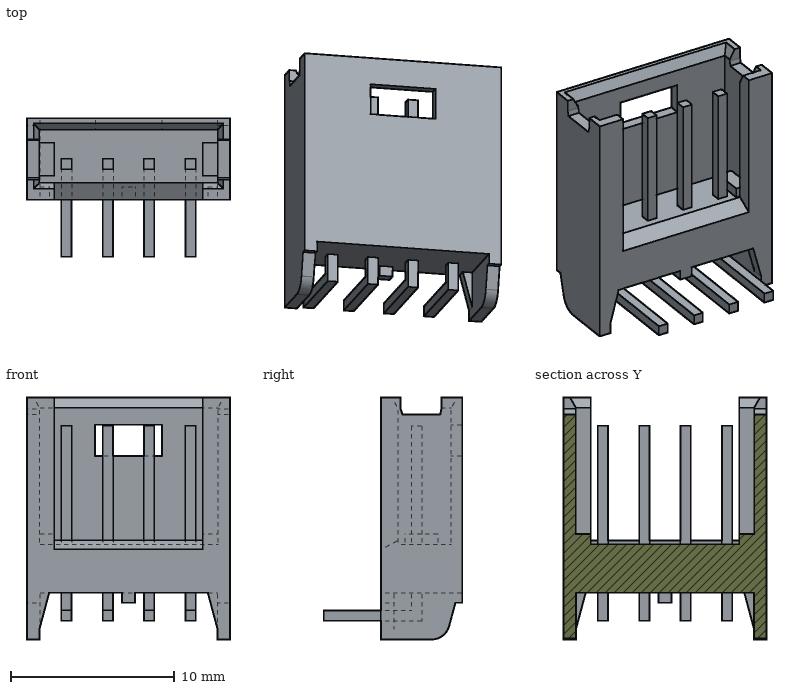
import cadquery as cq
import math


width = 12.45
depth = 5.0
height = 14.85
housing_bottom = 2.87

side_wall = 0.76
back_wall = 0.71
front_wall = 1.03
cavity_floor = 5.86
side_rim = 0.40
back_rim = 0.30
front_rim = 0.67
mouth_depth = 0.63

opening_width = 9.08
sill_front = 5.53
sill_back = 6.09

window_width = 4.1
window_height = 1.91
window_top = height - 1.68

notch_back = depth - 1.29
notch_front = 1.22
notch_depth = 1.04
notch_corner_height = 0.34
notch_corner_back = 0.07
notch_corner_front = 0.12

ledge_length = 2.04
ledge_front = 1.46
ledge_height = 0.62

leg_thickness = 0.78
leg_slope = math.tan(math.radians(15))
leg_step_bottom = 2.25
leg_step_depth = 0.42
leg_radius = 1.14
gusset_bottom = 0.68
gusset_thickness = 0.8

key_width = 0.82

pin_count = 4
pin_pitch = 2.54
pin_size = 0.64
pin_center = 2.19
pin_top = height - 1.73
tail_length = 3.5
tail_bottom = 1.15


def box(x_range, y_range, z_range):
    """Axis-aligned block given by its limits along each axis."""
    (x0, x1), (y0, y1), (z0, z1) = x_range, y_range, z_range
    return cq.Workplane("XY").box(x1 - x0, y1 - y0, z1 - z0, centered=False).translate((x0, y0, z0))


def centered_range(size, middle=0):
    return middle - size / 2, middle + size / 2


def extrude_along_x(points, x_range):
    """Prism of a (Y, Z) outline between two X positions."""
    x0, x1 = x_range
    return cq.Workplane("YZ").workplane(offset=x0).polyline(points).close().extrude(x1 - x0)


def mirrored(shape):
    """The shape together with its mirror image across X = 0."""
    return shape.union(shape.mirror("YZ"))


def make_cavity():
    inner_width = width - 2 * side_wall
    inner = box(
        centered_range(inner_width),
        (front_wall, depth - back_wall),
        (cavity_floor, height),
    )
    inner_middle = (front_wall + depth - back_wall) / 2
    rim_middle = (front_rim + depth - back_rim) / 2
    mouth = (
        cq.Workplane("XY", origin=(0, inner_middle, height - mouth_depth))
        .rect(inner_width, depth - back_wall - front_wall)
        .workplane(offset=mouth_depth)
        .center(0, rim_middle - inner_middle)
        .rect(width - 2 * side_rim, depth - back_rim - front_rim)
        .loft(ruled=True)
    )
    return inner.union(mouth)


def make_front_opening():
    outline = [
        (0, sill_front),
        (front_wall, sill_back),
        (front_wall, height),
        (0, height),
    ]
    return extrude_along_x(outline, centered_range(opening_width))


def make_window():
    return box(
        centered_range(window_width),
        (depth - back_wall, depth),
        (window_top - window_height, window_top),
    )


def make_side_notches():
    bottom = height - notch_depth
    corner_top = bottom + notch_corner_height
    outline = [
        (notch_front, height),
        (notch_front, corner_top),
        (notch_front + notch_corner_front, bottom),
        (notch_back - notch_corner_back, bottom),
        (notch_back, corner_top),
        (notch_back, height),
    ]
    return mirrored(extrude_along_x(outline, (-width / 2, side_wall - width / 2)))


def make_ledges():
    ledge = box(
        (-width / 2 + side_wall, -opening_width / 2),
        (ledge_front, ledge_front + ledge_length),
        (cavity_floor, cavity_floor + ledge_height),
    )
    return mirrored(ledge)


def make_legs():
    step_back = depth - leg_step_depth
    outline = [
        (0, 0),
        (step_back - leg_step_bottom * leg_slope, 0),
        (step_back, leg_step_bottom),
        (depth, leg_step_bottom),
        (depth, housing_bottom),
        (0, housing_bottom),
    ]
    outer_face = -width / 2
    inner_face = outer_face + leg_thickness
    leg = extrude_along_x(outline, (outer_face, inner_face))
    leg = leg.edges("|X").edges("<Z").edges(">Y").fillet(leg_radius)

    gusset_height = housing_bottom - gusset_bottom
    gusset = (
        cq.Workplane("XZ")
        .moveTo(inner_face, gusset_bottom)
        .lineTo(inner_face + gusset_height * leg_slope, housing_bottom)
        .lineTo(inner_face, housing_bottom)
        .close()
        .extrude(-gusset_thickness)
    )
    return mirrored(leg.union(gusset))


def make_key():
    return box(centered_range(key_width), (0, gusset_thickness), (leg_step_bottom, housing_bottom))


def make_pin(x):
    x_range = centered_range(pin_size, x)
    y_range = centered_range(pin_size, pin_center)
    post = box(x_range, y_range, (tail_bottom, pin_top))
    tail = box(x_range, (-tail_length, y_range[1]), (tail_bottom, tail_bottom + pin_size))
    return post.union(tail)


housing = box(centered_range(width), (0, depth), (housing_bottom, height))
housing = housing.cut(make_cavity())
housing = housing.cut(make_front_opening())
housing = housing.cut(make_window())
housing = housing.cut(make_side_notches())
housing = housing.union(make_ledges())
housing = housing.union(make_legs())
housing = housing.union(make_key())

result = housing
for index in range(pin_count):
    result = result.union(make_pin((index - (pin_count - 1) / 2) * pin_pitch))